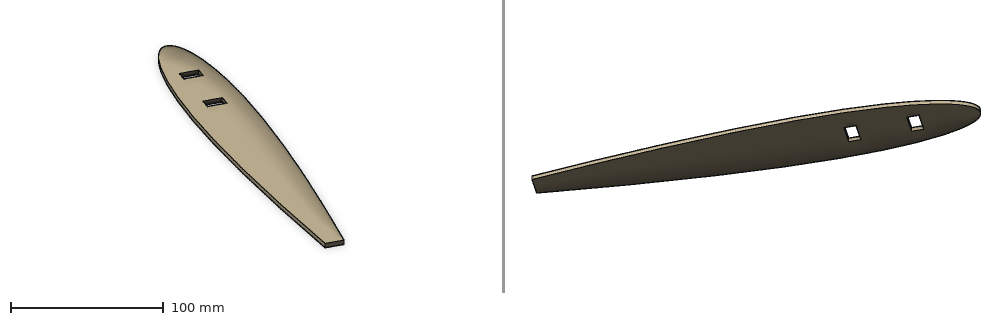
import cadquery as cq
import math

length = 300.0
plate_thickness = 3.3
chord = 348.0
thickness_ratio = 0.12

window_length = 8.0
window_width = 13.5
first_window_x = 43.8
window_spacing = 42.3
window_count = 2

outline_spans = 60


def half_width(fraction):
    """Half width of the NACA section at a fraction of the chord."""
    shape = (
        0.2969 * math.sqrt(fraction)
        - 0.1260 * fraction
        - 0.3516 * fraction**2
        + 0.2843 * fraction**3
        - 0.1015 * fraction**4
    )
    return 5 * thickness_ratio * chord * shape


def outline_point(t):
    """Outline point for t from -1 (lower tail) through 0 (nose) to 1 (upper tail)."""
    x = length * t**2
    return x, math.copysign(half_width(x / chord), t)


def make_plate():
    outline = [outline_point(2 * i / outline_spans - 1) for i in range(outline_spans + 1)]
    return cq.Workplane("XY").spline(outline).close().extrude(plate_thickness)


def make_windows():
    centres = [(first_window_x + i * window_spacing, 0) for i in range(window_count)]
    return (
        cq.Workplane("XY")
        .pushPoints(centres)
        .rect(window_length, window_width)
        .extrude(plate_thickness)
    )


result = make_plate().cut(make_windows())